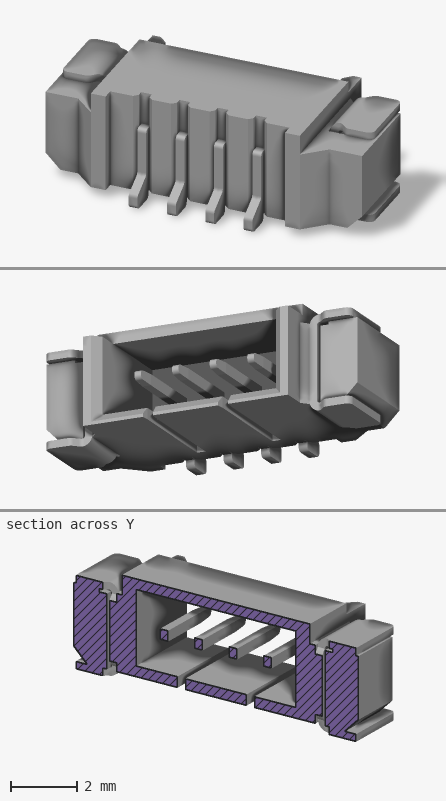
import cadquery as cq
import math


shell_half_width = 3.42
shell_height = 3.2
shell_depth = 4.74
roof_depth = 3.73
lip_height = 2.84
rear_recess_half_width = 2.93
rear_recess_depth = 0.35

cavity_half_width = 2.89
cavity_floor = 0.36
cavity_rear = 1.0
mouth_chamfer = 0.26
floor_slot_width = 0.28
floor_slot_mouth_width = 0.34

contact_count = 4
pitch = 1.25
contact_width = 0.29
channel_width = 0.35
channel_depth = 0.67
channel_mouth_width = 0.62
foot_drop = 0.25
foot_toe = -0.36
foot_heel = 0.48
foot_corner = 0.15
post_front = 0.3
post_rear = 0.75
post_top = 2.15
post_round = 0.13
slope_top = 0.6
slope_angle = 30.0
slope_round = 0.15
pin_level = (cavity_floor + lip_height) / 2
pin_height = 0.35
pin_taper_start = 3.52
pin_tip = 4.14
pin_tip_width = 0.22
pin_tip_height = 0.28
pin_tip_round = 0.13

wing_half_span = 5.18
wing_height = 2.56
wing_rear = 0.65
wing_rear_corner = 4.11
wing_front = 3.59
wing_root_front = 3.89
wing_chamfer = 0.49

clip_thickness = 0.25
clip_inner = 3.61
clip_outer = 5.09
bend_radius = 0.35
neck_rear = 1.9
neck_front = 3.66
tab_rear = 1.66
tab_front = 3.91
tab_shoulder = 4.22
tab_round = 0.2
slot_rear = 1.71
slot_outer = 3.95
slot_step_depth = 0.09
barb_height = 0.25
barb_round = 0.62
clip_bottom = -clip_thickness
clip_top = wing_height + clip_thickness

contact_positions = [(i - (contact_count - 1) / 2) * pitch for i in range(contact_count)]
floor_slot_positions = [-pitch, pitch]


def box(x0, x1, y0, y1, z0, z1):
    """Box between two corners."""
    return cq.Workplane("XY").box(x1 - x0, y1 - y0, z1 - z0, centered=False).translate((x0, y0, z0))


def plan_prism(points, z0, z1):
    """Prism with a plan outline between two heights."""
    return cq.Workplane("XY").workplane(offset=z0).polyline(points).close().extrude(z1 - z0)


def side_prism(points, x0, x1):
    """Prism with a (y, z) outline between two x positions."""
    return cq.Workplane("YZ").workplane(offset=x0).polyline(points).close().extrude(x1 - x0)


def mirrored(solid):
    """The solid together with its mirror image across the centre plane."""
    return solid.union(solid.mirror("YZ"))


def make_shell():
    shell = box(-shell_half_width, shell_half_width, 0, shell_depth, 0, shell_height)
    roof_cut = box(-shell_half_width, shell_half_width, roof_depth, shell_depth, lip_height, shell_height)
    rear_recess = box(-rear_recess_half_width, rear_recess_half_width, 0, rear_recess_depth, 0, shell_height)
    return shell.cut(roof_cut).cut(rear_recess)


def make_wing():
    outline = [
        (shell_half_width, 0),
        (wing_rear_corner, wing_rear),
        (wing_half_span, wing_rear),
        (wing_half_span, wing_front),
        (slot_outer, wing_front),
        (clip_inner, neck_front),
        (shell_half_width, wing_root_front),
    ]
    wing = plan_prism(outline, 0, wing_height)
    wing = wing.faces(">X").edges("<Z").chamfer(wing_chamfer)
    slot = box(clip_inner, slot_outer, slot_rear, shell_depth, 0, wing_height)
    step = box(clip_inner, tab_shoulder, slot_rear, shell_depth, wing_height - slot_step_depth, wing_height)
    return wing.cut(slot).cut(step)


def make_cavity():
    cavity = box(-cavity_half_width, cavity_half_width, cavity_rear, shell_depth, cavity_floor, lip_height)
    mouth_width = 2 * (cavity_half_width + mouth_chamfer)
    cavity_height = lip_height - cavity_floor
    flare = (
        cq.Workplane("XZ", origin=(0, shell_depth, pin_level))
        .rect(mouth_width, cavity_height + 2 * mouth_chamfer)
        .workplane(offset=mouth_chamfer)
        .rect(2 * cavity_half_width, cavity_height)
        .loft(ruled=True)
    )
    return cavity.union(flare)


def make_floor_slot(x):
    near = floor_slot_width / 2
    wide = floor_slot_mouth_width / 2
    flare_start = shell_depth - mouth_chamfer
    outline = [
        (x - near, cavity_rear),
        (x + near, cavity_rear),
        (x + near, flare_start),
        (x + wide, shell_depth),
        (x - wide, shell_depth),
        (x - near, flare_start),
    ]
    return plan_prism(outline, 0, cavity_floor)


def make_channel(x):
    near = channel_width / 2
    wide = channel_mouth_width / 2
    flare_start = rear_recess_depth + wide - near
    outline = [
        (x - wide, rear_recess_depth),
        (x - near, flare_start),
        (x - near, channel_depth),
        (x + near, channel_depth),
        (x + near, flare_start),
        (x + wide, rear_recess_depth),
    ]
    return plan_prism(outline, 0, shell_height)


def make_lead():
    toe_top = slope_top - (post_front - foot_toe) * math.tan(math.radians(slope_angle))
    outline = [
        (foot_heel, -foot_drop),
        (foot_toe, -foot_drop),
        (foot_toe, toe_top),
        (post_front, slope_top),
        (post_front, post_top),
        (post_rear, post_top),
        (post_rear, 0),
        (foot_heel, 0),
    ]
    lead = side_prism(outline, -contact_width / 2, contact_width / 2)
    lead = lead.edges("|X and >Z").fillet(post_round)
    lead = lead.edges("|X and <Z").fillet(foot_corner)
    slope_ends = [(foot_toe, toe_top), (post_front, slope_top)]
    for y, z in slope_ends:
        lead = lead.edges(cq.NearestToPointSelector((0, y, z))).fillet(slope_round)
    return lead


def make_pin():
    shank = box(
        -contact_width / 2, contact_width / 2, channel_depth, pin_taper_start,
        pin_level - pin_height / 2, pin_level + pin_height / 2,
    )
    taper = (
        cq.Workplane("XZ", origin=(0, pin_tip, pin_level))
        .rect(pin_tip_width, pin_tip_height)
        .workplane(offset=pin_tip - pin_taper_start)
        .rect(contact_width, pin_height)
        .loft(ruled=True)
    )
    return shank.union(taper.faces(">Y").edges("|X").fillet(pin_tip_round))


def make_clip():
    outer = box(clip_inner, clip_outer, tab_rear, tab_front, clip_bottom, clip_top)
    outer = outer.faces("<X").edges("|Y").fillet(bend_radius)
    hollow = box(
        clip_inner + clip_thickness, clip_outer, tab_rear, tab_front,
        clip_bottom + clip_thickness, clip_top - clip_thickness,
    )
    hollow = hollow.faces("<X").edges("|Y").fillet(bend_radius - clip_thickness)
    neck_shift = tab_front - neck_front
    neck_x = tab_shoulder - neck_shift
    outline = [
        (clip_inner, neck_rear),
        (neck_x, neck_rear),
        (tab_shoulder, tab_rear),
        (clip_outer, tab_rear),
        (clip_outer, tab_front),
        (tab_shoulder, tab_front),
        (neck_x, neck_front),
        (clip_inner, neck_front),
    ]
    plan = plan_prism(outline, clip_bottom, clip_top)
    plan = plan.edges("|Z").edges(cq.selectors.BoxSelector(
        (neck_x - tab_round / 2, 0, clip_bottom), (wing_half_span, shell_depth, clip_top),
    )).fillet(tab_round)
    clip = outer.cut(hollow).intersect(plan)

    barb_bottom = clip_bottom + bend_radius
    barb_top = clip_top - bend_radius
    barb = [
        (neck_rear, barb_bottom),
        (slot_rear, barb_bottom + barb_height),
        (slot_rear, barb_top - barb_height),
        (neck_rear, barb_top),
    ]
    barb_block = side_prism(barb, clip_inner, clip_inner + clip_thickness)
    barb_block = barb_block.faces("<Y").edges("|X").fillet(barb_round)
    return clip.union(barb_block)


body = make_shell().union(mirrored(make_wing())).cut(make_cavity())
for slot_x in floor_slot_positions:
    body = body.cut(make_floor_slot(slot_x))

contact = make_lead().union(make_pin())
for contact_x in contact_positions:
    body = body.cut(make_channel(contact_x)).union(contact.translate((contact_x, 0, 0)))

result = body.union(mirrored(make_clip()))